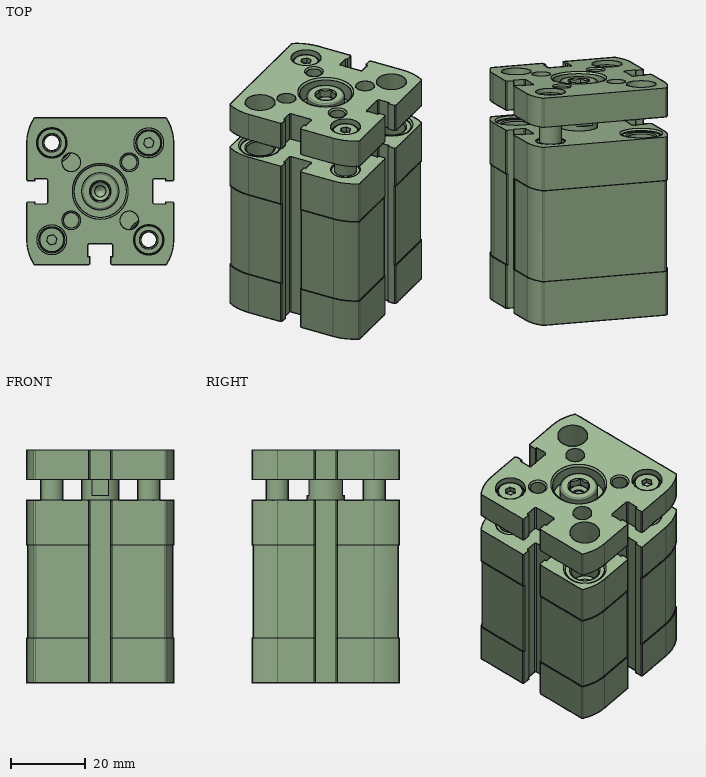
import cadquery as cq
import math

plate_half_width = 19.75
tube_half_width = 19.5
cap_height = 12.0
tube_height = 25.0
housing_height = 2 * cap_height + tube_height
plate_gap = 5.5
plate_thickness = 8.0
plate_bottom = housing_height + plate_gap
plate_top = plate_bottom + plate_thickness

corner_radius = 12.5
corner_arc_start = 12.87
edge_round = 0.5

slot_opening = 5.6
slot_inner_width = 6.7
slot_lip_depth = 2.25
slot_floor = 14.1
slot_chamfer = 0.3

rod_diameter = 10.0
rod_across_flats = 9.0
rod_flats_bottom = 50.2
rod_top_drop = 0.75
rod_top = plate_top - rod_top_drop
rod_bottom = cap_height
rod_end_round = 0.4
rod_socket_across_flats = 5.0
rod_socket_rim = 5.8
rod_socket_depth = 2.3
rod_center_hole = 3.0
rod_center_hole_depth = 0.5
drill_point_half_angle = math.radians(59)
rod_recess_diameter = 14.0
rod_recess_depth = 5.0
rod_recess_chamfer = 0.5

hole_square_half = 13.0
guide_positions = [(-hole_square_half, -hole_square_half), (hole_square_half, hole_square_half)]
mount_positions = [(-hole_square_half, hole_square_half), (hole_square_half, -hole_square_half)]

guide_diameter = 6.0
guide_bottom = cap_height
guide_end_diameter = 7.0
guide_end_chamfer = 0.3
guide_top_drop = 1.0
guide_top = plate_top - guide_top_drop
guide_recess_diameter = 8.0
guide_recess_depth = 2.0
guide_socket_across_flats = 2.5
guide_socket_depth = 1.5
guide_socket_angle = 15.0
guide_seat_diameter = 8.0
guide_seat_depth = 0.25

mount_clearance = 8.0
mount_mouth_diameter = 11.5
mount_recess_diameter = 10.5
mount_recess_depth = 0.75
mount_bore_mouth = 8.2
mount_bore_diameter = 7.5
mount_bore_depth = 6.0
mount_thread_mouth = 5.0
mount_thread_diameter = 4.13

fixing_circle_radius = 11.0
fixing_offset = fixing_circle_radius / math.sqrt(2)
threaded_positions = [(-fixing_offset, -fixing_offset), (fixing_offset, fixing_offset)]
dowel_positions = [(-fixing_offset, fixing_offset), (fixing_offset, -fixing_offset)]
dowel_diameter = 5.0
thread_diameter = 4.13
thread_mouth_diameter = 5.0


def cylinder(diameter, bottom, top, x=0.0, y=0.0):
    return cq.Workplane("XY", origin=(x, y, bottom)).circle(diameter / 2).extrude(top - bottom)


def cone(bottom_diameter, top_diameter, bottom, top, x=0.0, y=0.0):
    solid = cq.Solid.makeCone(bottom_diameter / 2, top_diameter / 2, top - bottom, cq.Vector(x, y, bottom))
    return cq.Workplane(obj=solid)


def mouth_cone(hole_diameter, mouth_diameter, top, x=0.0, y=0.0):
    """45 degree chamfer that widens a hole upward to its mouth."""
    depth = (mouth_diameter - hole_diameter) / 2
    return cone(hole_diameter, mouth_diameter, top - depth, top, x, y)


def hexagon(across_flats, bottom, top, x=0.0, y=0.0, angle=0.0):
    across_corners = across_flats / math.cos(math.pi / 6)
    plane = cq.Workplane("XY", origin=(x, y, bottom)).transformed(rotate=(0, 0, angle))
    return plane.polygon(6, across_corners).extrude(top - bottom)


def slot_cutter(half_width, bottom, height):
    """T-slot opening toward -Y, with a chamfered mouth and chamfered floor corners."""
    mouth = slot_opening / 2
    inner = slot_inner_width / 2
    lip = -plate_half_width + slot_lip_depth
    right_side = [
        (mouth + slot_chamfer, -half_width),
        (mouth, -half_width + slot_chamfer),
        (mouth, lip),
        (inner, lip),
        (inner, -slot_floor - slot_chamfer),
        (inner - slot_chamfer, -slot_floor),
    ]
    left_side = [(-x, y) for x, y in reversed(right_side)]
    return cq.Workplane("XY", origin=(0, 0, bottom)).polyline(right_side + left_side).close().extrude(height)


def section_block(half_width, bottom, height):
    """Square block with arc corners that meet the Y sides at rounded edges; T-slots on -X, +X and -Y."""
    inset = half_width - plate_half_width
    radius = corner_radius + inset
    arc_center_x = half_width - radius

    def arc_x(y):
        return arc_center_x + math.sqrt(radius ** 2 - (y - corner_arc_start) ** 2)

    corner_x = arc_x(half_width)
    middle_y = (corner_arc_start + half_width) / 2
    middle_x = arc_x(middle_y)
    block = (
        cq.Workplane("XY", origin=(0, 0, bottom))
        .moveTo(-corner_x, -half_width)
        .lineTo(corner_x, -half_width)
        .threePointArc((middle_x, -middle_y), (half_width, -corner_arc_start))
        .lineTo(half_width, corner_arc_start)
        .threePointArc((middle_x, middle_y), (corner_x, half_width))
        .lineTo(-corner_x, half_width)
        .threePointArc((-middle_x, middle_y), (-half_width, corner_arc_start))
        .lineTo(-half_width, -corner_arc_start)
        .threePointArc((-middle_x, -middle_y), (-corner_x, -half_width))
        .close()
        .extrude(height)
        .edges("|Z and (<Y or >Y)")
        .fillet(edge_round)
    )
    slot = slot_cutter(half_width, bottom, height)
    for angle in (-90, 0, 90):
        block = block.cut(slot.rotate((0, 0, 0), (0, 0, 1), angle))
    return block


def make_housing():
    tube_top = cap_height + tube_height
    body = section_block(plate_half_width, 0, cap_height)
    body = body.union(section_block(tube_half_width, cap_height, tube_height))
    body = body.union(section_block(plate_half_width, tube_top, cap_height))

    body = body.cut(cylinder(rod_diameter, rod_bottom, housing_height))
    for x, y in guide_positions:
        body = body.cut(cylinder(guide_diameter, guide_bottom, housing_height, x, y))
        seat_floor_diameter = guide_seat_diameter - 2 * guide_seat_depth
        body = body.cut(mouth_cone(seat_floor_diameter, guide_seat_diameter, housing_height, x, y))

    recess_floor = housing_height - mount_recess_depth
    bore_floor = recess_floor - mount_bore_depth
    for x, y in mount_positions:
        body = body.cut(mouth_cone(mount_recess_diameter, mount_mouth_diameter, housing_height, x, y))
        body = body.cut(cylinder(mount_recess_diameter, recess_floor, housing_height, x, y))
        body = body.cut(mouth_cone(mount_bore_diameter, mount_bore_mouth, recess_floor, x, y))
        body = body.cut(cylinder(mount_bore_diameter, bore_floor, recess_floor, x, y))
        body = body.cut(mouth_cone(mount_thread_diameter, mount_thread_mouth, bore_floor, x, y))
        body = body.cut(cylinder(mount_thread_diameter, 0, bore_floor, x, y))
    return body


def make_plate():
    plate = section_block(plate_half_width, plate_bottom, plate_thickness)
    recess_mouth = rod_recess_diameter + 2 * rod_recess_chamfer
    plate = plate.cut(cylinder(rod_recess_diameter, plate_top - rod_recess_depth, plate_top))
    plate = plate.cut(mouth_cone(rod_recess_diameter, recess_mouth, plate_top))
    for x, y in guide_positions:
        plate = plate.cut(cylinder(guide_recess_diameter, plate_top - guide_recess_depth, plate_top, x, y))
    for x, y in mount_positions:
        plate = plate.cut(cylinder(mount_clearance, plate_bottom, plate_top, x, y))
    for x, y in dowel_positions:
        plate = plate.cut(cylinder(dowel_diameter, plate_bottom, plate_top, x, y))
    for x, y in threaded_positions:
        plate = plate.cut(cylinder(thread_diameter, plate_bottom, plate_top, x, y))
        plate = plate.cut(mouth_cone(thread_diameter, thread_mouth_diameter, plate_top, x, y))
    return plate


def make_rod():
    rod = cylinder(rod_diameter, rod_bottom, rod_top).faces(">Z").fillet(rod_end_round)
    flats = (
        cq.Workplane("XY", origin=(0, 0, rod_flats_bottom))
        .rect(2 * rod_diameter, 2 * rod_diameter)
        .rect(2 * rod_diameter, rod_across_flats)
        .extrude(plate_bottom - rod_flats_bottom)
    )
    return rod.cut(flats)


def cut_rod_socket(body):
    """Hex socket with a chamfered rim and a conical bottom that runs into a small center hole."""
    socket_floor = rod_top - rod_socket_depth
    slope = math.tan(drill_point_half_angle)
    cone_depth = (rod_socket_across_flats - rod_center_hole) / 2 / slope
    hole_top = socket_floor - cone_depth
    hole_bottom = hole_top - rod_center_hole_depth
    tip = hole_bottom - rod_center_hole / 2 / slope
    body = body.cut(hexagon(rod_socket_across_flats, socket_floor, rod_top))
    body = body.cut(mouth_cone(rod_socket_across_flats, rod_socket_rim, rod_top))
    body = body.cut(cone(rod_center_hole, rod_socket_across_flats, hole_top, socket_floor))
    body = body.cut(cylinder(rod_center_hole, hole_bottom, hole_top))
    return body.cut(cone(0, rod_center_hole, tip, hole_bottom))


def make_guide_rod(x, y):
    """Guide rod with a wider, chamfered end in the plate."""
    rod = cylinder(guide_diameter, guide_bottom, plate_bottom, x, y)
    end = cylinder(guide_end_diameter, plate_bottom, guide_top, x, y).faces(">Z").chamfer(guide_end_chamfer)
    return rod.union(end)


def cut_guide_socket(body, x, y):
    bottom = guide_top - guide_socket_depth
    return body.cut(hexagon(guide_socket_across_flats, bottom, guide_top, x, y, guide_socket_angle))


def make_moving_unit():
    """End plate, piston rod and guide rods, which move together as one body."""
    unit = make_plate().union(make_rod())
    for x, y in guide_positions:
        unit = unit.union(make_guide_rod(x, y))
    unit = cut_rod_socket(unit)
    for x, y in guide_positions:
        unit = cut_guide_socket(unit, x, y)
    return unit


housing = make_housing()
moving_unit = make_moving_unit()

result = cq.Compound.makeCompound([housing.val(), moving_unit.val()])